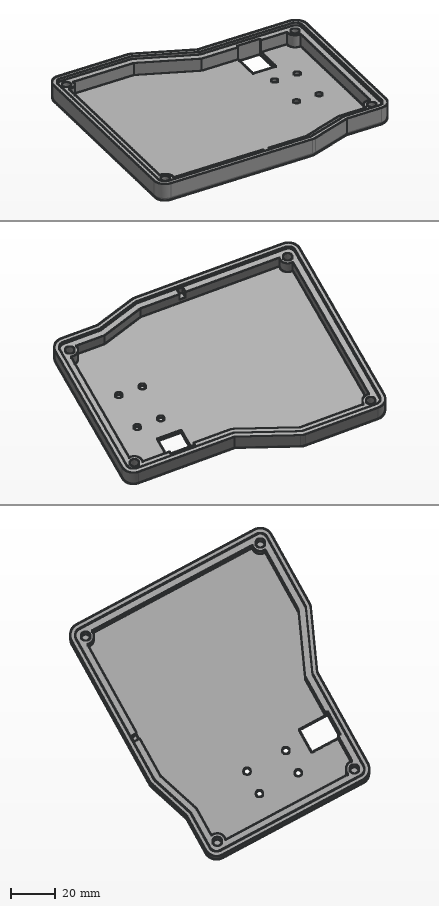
import cadquery as cq

width = 102.3
length = 124.3
height = 10.0

wall = 5.6
lip = 2.2
ledge_depth = 1.5
floor = 2.0
bottom_fillet = 2.2

rear_left = 12.0
rear_right = 95.2
left_taper_start = 42.8
left_taper_end = 71.1
right_taper_start = 79.8
right_taper_end = 100.8

post_radius = 3.7
screw_diameter = 4.2
screw_centers = [(6.1, 6.5), (95.6, 6.5), (18.5, 117.8), (88.6, 117.6)]

floor_hole_diameter = 3.2
floor_hole_columns = (40.9, 60.8)
floor_hole_rows = (94.5, 106.2)

window_left = 16.4
window_front = 88.9
window_width = 14.7
window_length = 11.9

notch_front = 56.5
notch_length = 2.9
notch_reach = 3.0
notch_depth = 4.0

ledge_z = height - ledge_depth

outer_points = [
    (0, 0),
    (width, 0),
    (width, right_taper_start),
    (rear_right, right_taper_end),
    (rear_right, length),
    (rear_left, length),
    (rear_left, left_taper_end),
    (0, left_taper_start),
]


def outline(inset, z):
    """Sharp-cornered outline moved inward by the given inset."""
    return cq.Workplane("XY", origin=(0, 0, z)).polyline(outer_points).close().offset2D(-inset, "intersection")


def rounded_outline(inset, z):
    """Outline at the given inset, with its outward corners rounded about the cavity corners."""
    return outline(wall, z).offset2D(wall - inset, "arc")


def box(x, y, z, size_x, size_y, size_z):
    return cq.Workplane("XY", origin=(x, y, z)).box(size_x, size_y, size_z, centered=False)


body = rounded_outline(0, 0).extrude(height)
body = body.faces("<Z").edges().fillet(bottom_fillet)

recess = rounded_outline(lip, ledge_z).extrude(ledge_depth)
posts = (
    cq.Workplane("XY", origin=(0, 0, floor))
    .pushPoints(screw_centers)
    .circle(post_radius)
    .extrude(ledge_z - floor)
)
cavity = outline(wall, floor).extrude(ledge_z - floor).cut(posts)

screw_holes = (
    cq.Workplane("XY", origin=(0, 0, floor))
    .pushPoints(screw_centers)
    .circle(screw_diameter / 2)
    .extrude(ledge_z - floor)
)

floor_holes = (
    cq.Workplane("XY")
    .pushPoints([(x, y) for x in floor_hole_columns for y in floor_hole_rows])
    .circle(floor_hole_diameter / 2)
    .extrude(floor)
)
window = box(window_left, window_front, 0, window_width, window_length, height)

notch = box(width - wall, notch_front, ledge_z - notch_depth, notch_reach, notch_length, notch_depth)

result = body
for cutter in (recess, cavity, screw_holes, floor_holes, window, notch):
    result = result.cut(cutter)